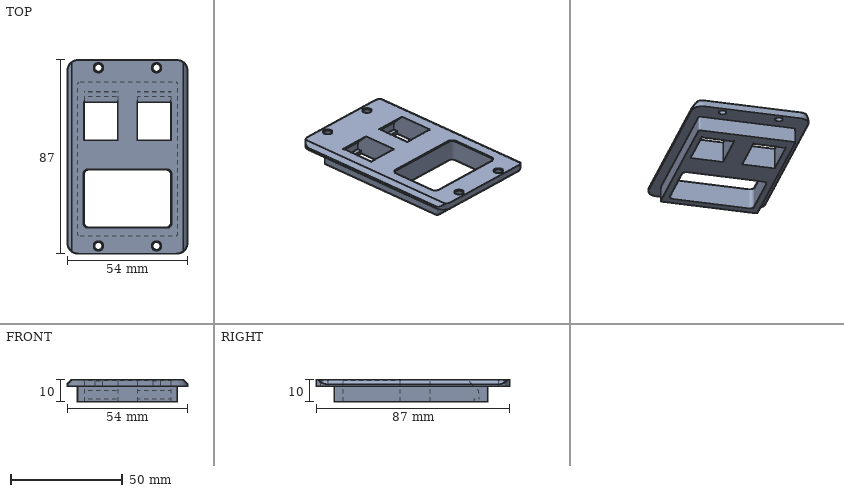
import cadquery as cq

plate_width = 54.0
plate_length = 87.0
plate_thickness = 3.05
plate_corner_radius = 5.0
side_bevel = 2.0

total_height = 10.0
body_width = 44.9
body_length = 69.1
body_center_y = -0.9
body_corner_radius = 1.0

edge_chamfer_angle = 45

screw_diameter = 3.5
screw_spacing_x = 26.1
screw_spacing_y = 79.95
screw_chamfer = 0.4

window_width = 39.0
window_length = 25.75
window_center_y = -18.7
window_corner_radius = 2.0
window_chamfer = 0.35

jack_width = 15.05
jack_length = 17.0
jack_spacing = 23.9
jack_center_y = 16.0
recess_depth = 5.0
recess_ceiling_reach = 4.7
recess_wall_top = 6.1
recess_floor = 8.5
recess_exit_depth = 2.8


def make_plate():
    plate = (
        cq.Workplane("XY")
        .workplane(offset=-plate_thickness)
        .rect(plate_width, plate_length)
        .extrude(plate_thickness)
        .faces(">Z")
        .edges("<X or >X")
        .chamfer(side_bevel)
    )
    rounded_outline = (
        cq.Workplane("XY")
        .workplane(offset=-plate_thickness)
        .rect(plate_width, plate_length)
        .extrude(plate_thickness)
        .edges("|Z")
        .fillet(plate_corner_radius)
    )
    return plate.intersect(rounded_outline)


def make_body():
    return (
        cq.Workplane("XY")
        .workplane(offset=-total_height)
        .center(0, body_center_y)
        .rect(body_width, body_length)
        .extrude(total_height - plate_thickness)
        .edges("|Z")
        .fillet(body_corner_radius)
    )


def make_window_cutter():
    flared_mouth = (
        cq.Workplane("XY")
        .workplane(offset=-window_chamfer)
        .center(0, window_center_y)
        .sketch()
        .rect(window_width, window_length)
        .vertices()
        .fillet(window_corner_radius)
        .finalize()
        .extrude(window_chamfer, taper=-edge_chamfer_angle)
    )
    window = (
        cq.Workplane("XY")
        .workplane(offset=-total_height)
        .center(0, window_center_y)
        .rect(window_width, window_length)
        .extrude(total_height)
        .edges("|Z")
        .fillet(window_corner_radius)
    )
    return window.union(flared_mouth)


def make_jack_cutter(center_x):
    front = jack_center_y - jack_length / 2
    back = jack_center_y + jack_length / 2
    return (
        cq.Workplane("YZ")
        .workplane(offset=center_x - jack_width / 2)
        .moveTo(front, 0)
        .lineTo(back, 0)
        .lineTo(back + recess_ceiling_reach, -recess_ceiling_reach)
        .lineTo(back + recess_depth, -recess_wall_top)
        .lineTo(back + recess_depth, -recess_floor)
        .lineTo(back + recess_exit_depth, -recess_floor)
        .lineTo(back + recess_exit_depth, -total_height)
        .lineTo(front, -total_height)
        .close()
        .extrude(jack_width)
    )


result = make_plate().union(make_body())
result = result.cut(make_window_cutter())
for side in (-1, 1):
    result = result.cut(make_jack_cutter(side * jack_spacing / 2))

result = (
    result.faces(">Z")
    .workplane(origin=(0, 0, 0))
    .rect(screw_spacing_x, screw_spacing_y, forConstruction=True)
    .vertices()
    .cskHole(screw_diameter, screw_diameter + 2 * screw_chamfer, 2 * edge_chamfer_angle)
)